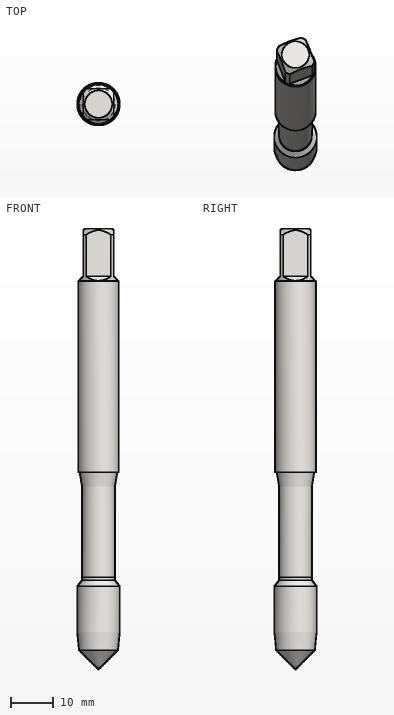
import cadquery as cq

TOTAL_LENGTH = 104.5
LEAD_START_Z = 8.9
HEAD_TOP_Z = 19.8
HEAD_CONE_TOP_Z = 21.2
HEAD_STUB_TOP_Z = 21.8
NECK_TOP_Z = 43.4
NECK_CONE_BOTTOM_Z = 43.7
SHANK_BOTTOM_Z = 46.7
SHANK_TOP_Z = 92.0

HEAD_DIAMETER = 10.1
LEAD_DIAMETER = 9.3
NECK_DIAMETER = 7.8
NECK_CONE_BOTTOM_DIAMETER = 7.9
NECK_CONE_TOP_DIAMETER = 9.0
SHANK_DIAMETER = 9.7
DRIVE_DIAMETER = 9.3
DRIVE_TOP_DIAMETER = 6.5

DRIVE_WIDTH = 7.3

head_radius = HEAD_DIAMETER / 2
lead_radius = LEAD_DIAMETER / 2
neck_radius = NECK_DIAMETER / 2
neck_cone_bottom_radius = NECK_CONE_BOTTOM_DIAMETER / 2
neck_cone_top_radius = NECK_CONE_TOP_DIAMETER / 2
shank_radius = SHANK_DIAMETER / 2
drive_radius = DRIVE_DIAMETER / 2
drive_top_radius = DRIVE_TOP_DIAMETER / 2

lead_end_z = lead_radius
shoulder_top_z = SHANK_TOP_Z + shank_radius - drive_radius
drive_chamfer_z = TOTAL_LENGTH - (drive_radius - drive_top_radius)


def revolve_about_z(profile):
    """Turn a closed radius-height profile into a solid about the Z axis."""
    return profile.close().revolve(360, (0, 0, 0), (0, 1, 0))


def make_cutting_head():
    """Cylindrical head with a tapered lead, a 90 degree point and a short neck stub."""
    return revolve_about_z(
        cq.Workplane("XZ")
        .moveTo(0, 0)
        .lineTo(lead_radius, lead_end_z)
        .lineTo(head_radius, LEAD_START_Z)
        .lineTo(head_radius, HEAD_TOP_Z)
        .lineTo(neck_radius, HEAD_CONE_TOP_Z)
        .lineTo(neck_radius, HEAD_STUB_TOP_Z)
        .lineTo(0, HEAD_STUB_TOP_Z)
    )


def make_turned_shank():
    """Neck, shank and round drive blank, before the flats are cut."""
    return revolve_about_z(
        cq.Workplane("XZ")
        .moveTo(0, HEAD_STUB_TOP_Z)
        .lineTo(neck_radius, HEAD_STUB_TOP_Z)
        .lineTo(neck_radius, NECK_TOP_Z)
        .lineTo(neck_cone_bottom_radius, NECK_CONE_BOTTOM_Z)
        .lineTo(neck_cone_top_radius, SHANK_BOTTOM_Z)
        .lineTo(shank_radius, SHANK_BOTTOM_Z)
        .lineTo(shank_radius, SHANK_TOP_Z)
        .lineTo(drive_radius, shoulder_top_z)
        .lineTo(drive_radius, drive_chamfer_z)
        .lineTo(drive_top_radius, TOTAL_LENGTH)
        .lineTo(0, TOTAL_LENGTH)
    )


def make_flat_cutter():
    """Cutter for the +X drive flat, with a 45 degree run-out at its foot."""
    flat_x = DRIVE_WIDTH / 2
    runout_top_z = SHANK_TOP_Z + shank_radius - flat_x
    return (
        cq.Workplane("XZ")
        .moveTo(flat_x, runout_top_z)
        .lineTo(shank_radius, SHANK_TOP_Z)
        .lineTo(SHANK_DIAMETER, SHANK_TOP_Z)
        .lineTo(SHANK_DIAMETER, TOTAL_LENGTH)
        .lineTo(flat_x, TOTAL_LENGTH)
        .close()
        .extrude(shank_radius, both=True)
    )


def make_shank():
    """Turned shank with four flats forming the square drive."""
    shank = make_turned_shank()
    flat_cutter = make_flat_cutter()
    for angle in (0, 90, 180, 270):
        shank = shank.cut(flat_cutter.rotate((0, 0, 0), (0, 0, 1), angle))
    return shank


cutting_head = make_cutting_head()
shank = make_shank()
result = cq.Compound.makeCompound([cutting_head.val(), shank.val()])